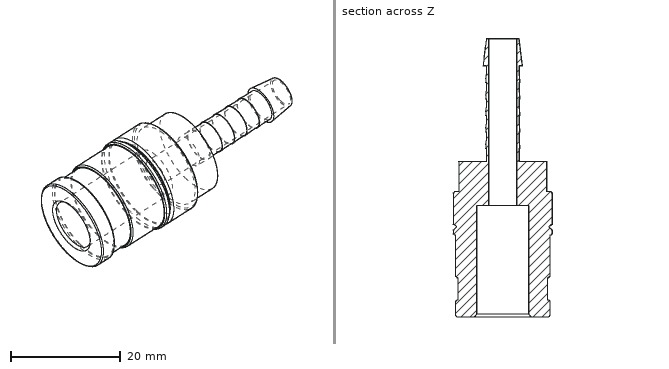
import cadquery as cq

overall_length = 51.0
collar_end = 3.15
neck_end = 7.2
sleeve_end = 15.0
groove_start = 15.9
groove_floor_start = 16.45
groove_floor_end = 16.65
groove_end = 17.0
flange_end = 23.0
shoulder_end = 28.5
first_barb_start = 30.9
head_start = 46.0

sleeve_radius = 8.65
neck_radius = 8.2
flange_radius = 9.105
groove_radius = 8.5
shoulder_radius = 8.1
stem_radius = 3.05
barb_radius = 3.15
head_radius = 3.6
tip_radius = 3.0

edge_chamfer = 0.25

barb_count = 5
barb_pitch = 3.0
barb_length = 1.55

socket_radius = 4.75
socket_depth = 20.4
mouth_chamfer = 0.5
bore_radius = 2.55


def chamfered_band(start, end, radius):
    """Profile points of a cylindrical band with both outer edges chamfered."""
    return [
        (radius - edge_chamfer, start),
        (radius, start + edge_chamfer),
        (radius, end - edge_chamfer),
        (radius - edge_chamfer, end),
    ]


def barb_profile():
    """Profile points of the barbs, each tapering back to the stem."""
    points = []
    for index in range(barb_count):
        start = first_barb_start + index * barb_pitch
        points += [
            (stem_radius, start),
            (barb_radius, start),
            (stem_radius, start + barb_length),
        ]
    return points


def revolve_about_y(points):
    """Turn a closed (radius, Y) profile about the Y axis."""
    return cq.Workplane("XY").polyline(points).close().revolve(360, (0, 0, 0), (0, 1, 0))


outer_profile = (
    [(0, 0)]
    + chamfered_band(0, collar_end, sleeve_radius)
    + [
        (neck_radius, collar_end),
        (neck_radius, neck_end),
        (sleeve_radius - edge_chamfer, neck_end),
        (sleeve_radius, neck_end + edge_chamfer),
        (sleeve_radius, sleeve_end),
        (flange_radius - edge_chamfer, sleeve_end),
        (flange_radius, sleeve_end + edge_chamfer),
        (flange_radius, groove_start),
        (groove_radius, groove_floor_start),
        (groove_radius, groove_floor_end),
        (flange_radius, groove_end),
        (flange_radius, flange_end - edge_chamfer),
        (flange_radius - edge_chamfer, flange_end),
        (shoulder_radius, flange_end),
        (shoulder_radius, shoulder_end),
        (stem_radius, shoulder_end),
    ]
    + barb_profile()
    + [
        (stem_radius, head_start),
        (head_radius, head_start),
        (tip_radius, overall_length),
        (0, overall_length),
    ]
)

inner_profile = [
    (0, 0),
    (socket_radius + mouth_chamfer, 0),
    (socket_radius, mouth_chamfer),
    (socket_radius, socket_depth),
    (bore_radius, socket_depth),
    (bore_radius, overall_length),
    (0, overall_length),
]

body = revolve_about_y(outer_profile).cut(revolve_about_y(inner_profile))
result = body.translate((0, -overall_length / 2, 0))